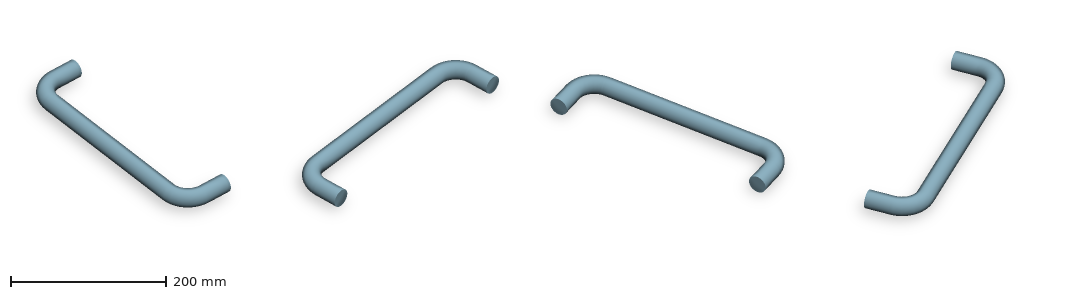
import cadquery as cq

overall_length = 325.0
bar_diameter = 25.0
overall_depth = 80.0
bend_radius = 32.5

bar_radius = bar_diameter / 2
leg_x = overall_length / 2 - bar_radius
grip_half_length = leg_x - bend_radius
leg_length = overall_depth - bar_radius - bend_radius


def make_bend(side):
    """Quarter bend at one end of the grip; side is -1 or +1 along X."""
    return (
        cq.Workplane("YZ", origin=(side * grip_half_length, 0, 0))
        .circle(bar_radius)
        .revolve(90, (bend_radius, 0, 0), (bend_radius, side, 0))
    )


def make_handle():
    """Straight grip with a bend at each end, as one solid."""
    grip = (
        cq.Workplane("YZ", origin=(-grip_half_length, 0, 0))
        .circle(bar_radius)
        .extrude(2 * grip_half_length)
    )
    return grip.union(make_bend(-1)).union(make_bend(1)).solids()


def make_leg(side):
    """Round leg that stands on the end face of one bend and points along +Y."""
    return (
        cq.Workplane("XZ", origin=(side * leg_x, bend_radius, 0))
        .circle(bar_radius)
        .extrude(-leg_length)
    )


handle = make_handle()
legs = [make_leg(side) for side in (-1, 1)]

result = cq.Compound.makeCompound([handle.val(), *[leg.val() for leg in legs]])